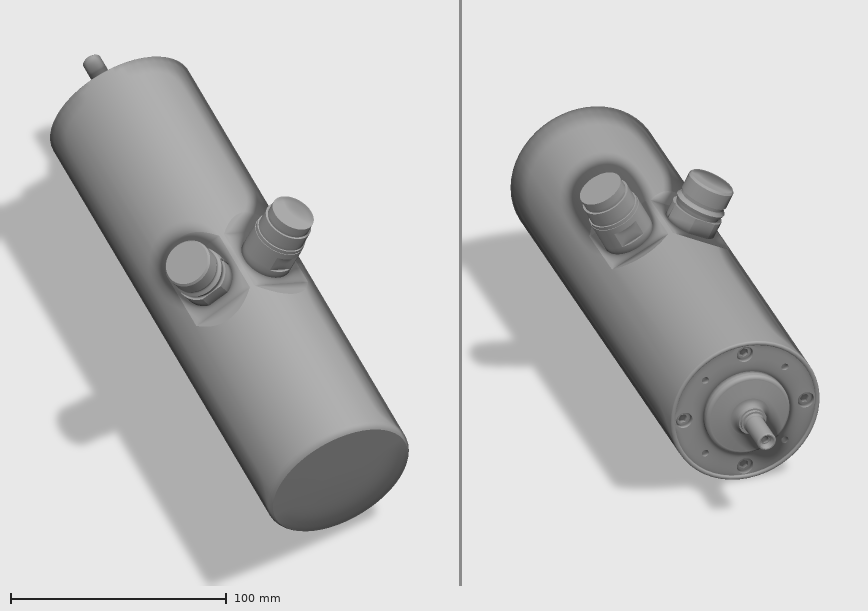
import cadquery as cq
import math

total_length = 266.0
body_diameter = 73.0
body_radius = body_diameter / 2
front_face_x = 31.7
front_lip_radius = 1.0
rear_fillet_start_x = 261.7
rear_cone_start_x = 265.2
rear_cone_radius = 34.8

shaft_diameter = 9.0
shaft_tip_diameter = 8.0
shaft_tip_chamfer = 0.5
centre_hole_diameter = 3.5
centre_hole_depth = 6.6
centre_bore_diameter = 4.5
centre_bore_depth = 2.7
countersink_diameter = 7.0
collar_diameter = 10.0
collar_start_x = 17.5

nose_tip_diameter = 12.0
nose_tip_x = 19.0
nose_diameter = 13.5
nose_step_x = 20.5
nose_blend_radius = 3.0
nose_blend_start_x = 21.8
flange_diameter = 41.0
flange_front_x = 26.3
flange_fillet_radius = 1.9

screw_count = 4
screw_circle_radius = 29.8
screw_recess_diameter = 8.0
screw_recess_depth = 2.7
screw_head_diameter = 7.0
screw_head_height = 0.8
hex_socket_flats = 4.0
hex_socket_depth = 2.0
tapped_hole_diameter = 3.5
tapped_hole_circle_radius = 27.53
tapped_hole_depth = 8.0
drill_point_angle = 118.0

connector_x = 155.0
connector_tilt = 27.0
seat_height = 33.0
seat_half_length = 16.2
ramp_end_half_length = 25.8

connector_base_diameter = 25.0

tall_top_height = 63.8
tall_top_diameter = 21.0
tall_top_start = 58.5
tall_sleeve_diameter = 23.1
tall_sleeve_start = 50.5
tall_collar_diameter = 24.5
tall_collar_start = 48.7
tall_flat_bottom = 37.0
tall_flat_top = 45.5
tall_flat_width = 11.7

short_top_height = 57.0
short_cap_diameter = 23.0
short_cap_top_diameter = 21.3
short_cap_chamfer = 1.0
short_cap_start = 48.5
short_groove_diameter = 21.5
short_ring_top = 46.5
short_ring_widest = 44.7
short_ring_bottom = 42.8
short_ring_diameter = 24.5
short_ring_lower_diameter = 23.0
short_base_top = 41.0
short_flat_width = 10.6
key_slot_width = 1.5
key_slot_depth = 0.8


def motor_blank():
    flange_radius = flange_diameter / 2
    nose_radius = nose_diameter / 2
    blend_end_x = nose_blend_start_x + nose_blend_radius
    blend_end_radius = nose_radius + nose_blend_radius
    blend_shift = nose_blend_radius * math.sin(math.radians(45))
    fillet_shift = flange_fillet_radius * math.sin(math.radians(45))
    fillet_centre_x = flange_front_x + flange_fillet_radius
    fillet_centre_radius = flange_radius - flange_fillet_radius
    profile = (
        cq.Workplane("XY")
        .moveTo(0, 0)
        .lineTo(0, shaft_tip_diameter / 2)
        .lineTo(shaft_tip_chamfer, shaft_diameter / 2)
        .lineTo(collar_start_x, shaft_diameter / 2)
        .lineTo(nose_tip_x, collar_diameter / 2)
        .lineTo(nose_tip_x, nose_tip_diameter / 2)
        .lineTo(nose_step_x, nose_tip_diameter / 2)
        .lineTo(nose_step_x, nose_radius)
        .lineTo(nose_blend_start_x, nose_radius)
        .threePointArc(
            (nose_blend_start_x + blend_shift, blend_end_radius - blend_shift),
            (blend_end_x, blend_end_radius),
        )
        .lineTo(flange_front_x, fillet_centre_radius)
        .threePointArc(
            (fillet_centre_x - fillet_shift, fillet_centre_radius + fillet_shift),
            (fillet_centre_x, flange_radius),
        )
        .lineTo(front_face_x, flange_radius)
        .lineTo(front_face_x, body_radius - 2 * front_lip_radius)
        .threePointArc(
            (front_face_x - front_lip_radius, body_radius - front_lip_radius),
            (front_face_x, body_radius),
        )
        .lineTo(rear_fillet_start_x, body_radius)
        .tangentArcPoint((rear_cone_start_x, rear_cone_radius), relative=False)
        .lineTo(total_length, 0)
        .close()
    )
    return profile.revolve(360, (0, 0, 0), (1, 0, 0))


def blind_hole(start_x, diameter, depth):
    """A drilled hole along +X from the X axis, ending in a drill point."""
    radius = diameter / 2
    point_length = radius / math.tan(math.radians(drill_point_angle / 2))
    return (
        cq.Workplane("XY")
        .polyline(
            [
                (start_x, 0),
                (start_x, radius),
                (start_x + depth, radius),
                (start_x + depth + point_length, 0),
            ]
        )
        .close()
        .revolve(360, (0, 0, 0), (1, 0, 0))
    )


def shaft_centre_hole():
    """Stepped centre hole in the shaft tip, with a 45 degree countersink at its rim."""
    rim_radius = countersink_diameter / 2
    countersink = cq.Workplane("XY").polyline([(0, 0), (0, rim_radius), (rim_radius, 0)]).close()
    cone = countersink.revolve(360, (0, 0, 0), (1, 0, 0))
    bore = cq.Workplane("YZ").circle(centre_bore_diameter / 2).extrude(centre_bore_depth)
    return blind_hole(0, centre_hole_diameter, centre_hole_depth).union(cone).union(bore)


def screw_recess():
    """The space around and above a sunken screw head, with its hexagon socket."""
    floor_x = front_face_x + screw_recess_depth
    head_top_x = floor_x - screw_head_height
    pocket = (
        cq.Workplane("YZ", origin=(front_face_x, 0, 0))
        .circle(screw_recess_diameter / 2)
        .extrude(screw_recess_depth)
    )
    head = (
        cq.Workplane("YZ", origin=(head_top_x, 0, 0))
        .circle(screw_head_diameter / 2)
        .extrude(screw_head_height)
    )
    across_corners = hex_socket_flats / math.cos(math.radians(30))
    socket = (
        cq.Workplane("YZ", origin=(head_top_x, 0, 0))
        .polygon(6, across_corners)
        .extrude(hex_socket_depth)
    )
    return pocket.cut(head).union(socket)


def around_axis(cutter, circle_radius, first_angle):
    """Copies of a cutter, evenly spaced on a circle around the motor axis."""
    on_circle = cutter.translate((0, circle_radius, 0))
    step = 360 / screw_count
    return [
        on_circle.rotate((0, 0, 0), (1, 0, 0), first_angle + step * index)
        for index in range(screw_count)
    ]


def connector_seat(tilt):
    """Cutter for a flat with two end ramps, tilted about the motor axis."""
    ramp_length = ramp_end_half_length - seat_half_length
    rise = body_radius - seat_height
    outline = [
        (connector_x - seat_half_length, seat_height),
        (connector_x + seat_half_length, seat_height),
        (connector_x + seat_half_length + 2 * ramp_length, seat_height + 2 * rise),
        (connector_x - seat_half_length - 2 * ramp_length, seat_height + 2 * rise),
    ]
    cutter = cq.Workplane("XZ").polyline(outline).close().extrude(body_radius, both=True)
    return cutter.rotate((0, 0, 0), (1, 0, 0), tilt)


def make_motor():
    motor = motor_blank().cut(shaft_centre_hole())
    tapped_hole = blind_hole(front_face_x, tapped_hole_diameter, tapped_hole_depth)
    for cutter in around_axis(screw_recess(), screw_circle_radius, 0):
        motor = motor.cut(cutter)
    for cutter in around_axis(tapped_hole, tapped_hole_circle_radius, 45):
        motor = motor.cut(cutter)
    for tilt in (-connector_tilt, connector_tilt):
        motor = motor.cut(connector_seat(tilt))
    return motor


def turned_connector(steps):
    """A connector turned about Z from (diameter, height) points that start on the seat."""
    top_height = steps[-1][1]
    points = [(0, seat_height)]
    points += [(diameter / 2, height) for diameter, height in steps]
    points.append((0, top_height))
    return cq.Workplane("XZ").polyline(points).close().revolve(360, (0, 0, 0), (0, 1, 0))


def side_flats(flat_width, bottom, top):
    """Cutter for two parallel flats on the -X and +X sides of a connector base."""
    base_radius = connector_base_diameter / 2
    flat_distance = math.sqrt(base_radius**2 - (flat_width / 2) ** 2)
    height = top - bottom
    centre = (0, 0, (bottom + top) / 2)
    outer = cq.Workplane("XY").box(4 * base_radius, 2 * base_radius, height)
    between_flats = cq.Workplane("XY").box(2 * flat_distance, 2 * base_radius, height)
    return outer.cut(between_flats).translate(centre)


def key_slot():
    """Cutter for a narrow slot along the +Y side of the short connector's base."""
    height = short_base_top - seat_height
    centre = (0, connector_base_diameter / 2, (seat_height + short_base_top) / 2)
    return cq.Workplane("XY").box(key_slot_width, 2 * key_slot_depth, height).translate(centre)


def placed(connector, tilt):
    return connector.translate((connector_x, 0, 0)).rotate((0, 0, 0), (1, 0, 0), tilt)


def make_tall_connector():
    steps = [
        (connector_base_diameter, seat_height),
        (connector_base_diameter, tall_collar_start),
        (tall_collar_diameter, tall_collar_start),
        (tall_collar_diameter, tall_sleeve_start),
        (tall_sleeve_diameter, tall_sleeve_start),
        (tall_sleeve_diameter, tall_top_start),
        (tall_top_diameter, tall_top_start),
        (tall_top_diameter, tall_top_height),
    ]
    flats = side_flats(tall_flat_width, tall_flat_bottom, tall_flat_top)
    return placed(turned_connector(steps).cut(flats), -connector_tilt)


def make_short_connector():
    steps = [
        (connector_base_diameter, seat_height),
        (connector_base_diameter, short_base_top),
        (short_groove_diameter, short_base_top),
        (short_groove_diameter, short_ring_bottom),
        (short_ring_lower_diameter, short_ring_bottom),
        (short_ring_diameter, short_ring_widest),
        (short_groove_diameter, short_ring_top),
        (short_groove_diameter, short_cap_start),
        (short_cap_diameter, short_cap_start),
        (short_cap_diameter, short_top_height - short_cap_chamfer),
        (short_cap_top_diameter, short_top_height),
    ]
    flats = side_flats(short_flat_width, seat_height, short_base_top)
    connector = turned_connector(steps).cut(flats).cut(key_slot())
    return placed(connector, connector_tilt)


motor = make_motor()
tall_connector = make_tall_connector()
short_connector = make_short_connector()

result = cq.Compound.makeCompound([motor.val(), tall_connector.val(), short_connector.val()])